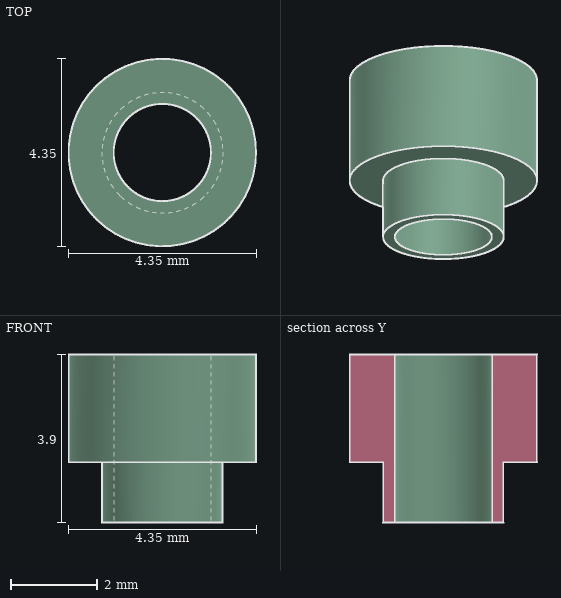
import cadquery as cq

head_diameter = 4.35
neck_diameter = 2.8
bore_diameter = 2.25
total_height = 3.9
neck_height = 1.4
head_height = total_height - neck_height

neck = cq.Workplane("XY").circle(neck_diameter / 2).extrude(neck_height)

head = cq.Workplane("XY").workplane(offset=neck_height).circle(head_diameter / 2).extrude(head_height)

bore = cq.Workplane("XY").circle(bore_diameter / 2).extrude(total_height)

result = neck.union(head).cut(bore)